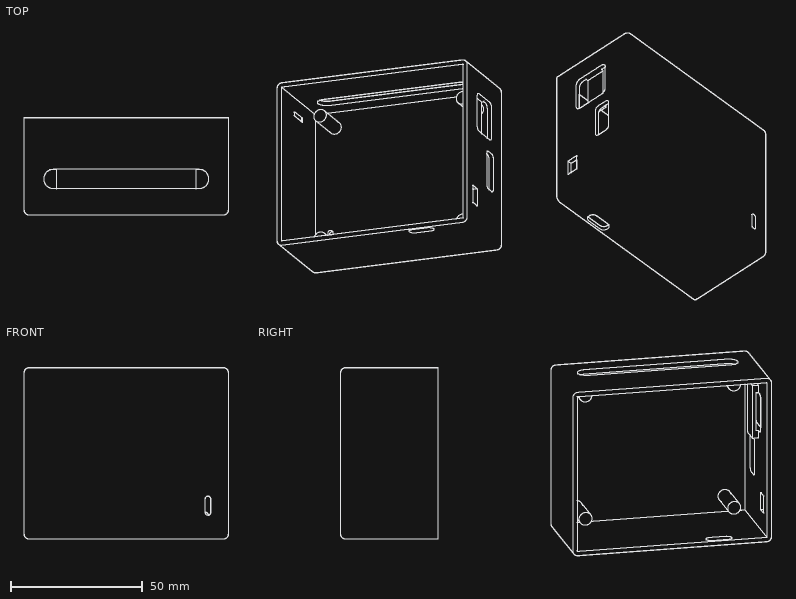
import cadquery as cq

length = 77.5
depth = 37.0
height = 65.0
wall = 1.8
edge_radius = 2.0

left = -length / 2
front = -depth / 2
back = depth / 2
top = height / 2
inner_front = front + wall
cut_depth = 2 * wall

post_diameter = 5.0
post_x = 29.0
post_z = 24.5
post_end = front + 17.2

window_size = 15.0
window_radius = 2.0
window_y = front + 19.3
window_z = 15.0
window_depth = 2.7

bar_width = 8.0
bar_height = 20.9
bar_thickness = 2.3

groove_radius = 1.0
groove_depth = 0.5
groove_z = 24.3
groove_length = bar_width

tall_window_width = 6.75
tall_window_height = 15.0
tall_window_radius = 1.5
tall_window_y = front + 13.4
tall_window_z = -4.95
small_window_width = 4.5
small_window_height = 6.8
small_window_y = front + 28.8
small_window_z = -19.45

top_slot_length = 62.5
top_slot_width = 7.4
top_slot_y = front + 13.7
front_slot_length = 7.2
front_slot_width = 2.0
front_slot_x = 30.9
front_slot_z = -19.85
bottom_slot_length = 10.0
bottom_slot_width = 4.0
bottom_slot_right_end = -13.95
bottom_slot_y = back - 3.0


def make_shell():
    block = cq.Workplane("XY").box(length, depth, height)
    block = block.edges("<Y or |Y").fillet(edge_radius)
    cavity = cq.Workplane("XY").box(length - 2 * wall, depth, height - 2 * wall)
    return block.cut(cavity.translate((0, wall, 0)))


def make_posts():
    centers = [(x, z) for x in (-post_x, post_x) for z in (-post_z, post_z)]
    plane = cq.Workplane("XZ", origin=(0, inner_front, 0))
    return plane.pushPoints(centers).circle(post_diameter / 2).extrude(inner_front - post_end)


def make_bar():
    bar = cq.Workplane("XY").box(bar_thickness, bar_width, bar_height)
    return bar.translate((left + wall + bar_thickness / 2, window_y, window_z))


def make_groove():
    """Round cutter along Y that sinks into the inner face of the right wall."""
    center_x = -left - wall + groove_depth - groove_radius
    plane = cq.Workplane("XZ", origin=(center_x, window_y, groove_z))
    return plane.circle(groove_radius).extrude(groove_length / 2, both=True)


def make_window(y, z, width, tall, into_wall):
    """Cutter that enters the left wall from outside."""
    cutter = cq.Workplane("XY").box(2 * into_wall, width, tall)
    return cutter.translate((left, y, z))


body = make_shell()
body = body.union(make_posts())
body = body.union(make_bar())
body = body.cut(make_groove())

large_window = make_window(window_y, window_z, window_size, window_size, window_depth)
body = body.cut(large_window.edges("|X").fillet(window_radius))
tall_window = make_window(tall_window_y, tall_window_z, tall_window_width, tall_window_height, cut_depth)
body = body.cut(tall_window.edges("|X").fillet(tall_window_radius))
body = body.cut(make_window(small_window_y, small_window_z, small_window_width, small_window_height, cut_depth))

top_slot = cq.Workplane("XY", origin=(0, top_slot_y, top)).slot2D(top_slot_length, top_slot_width)
body = body.cut(top_slot.extrude(cut_depth, both=True))

bottom_slot_x = bottom_slot_right_end - bottom_slot_length / 2
bottom_slot = cq.Workplane("XY", origin=(bottom_slot_x, bottom_slot_y, -top))
bottom_slot = bottom_slot.slot2D(bottom_slot_length, bottom_slot_width)
body = body.cut(bottom_slot.extrude(cut_depth, both=True))

front_slot = cq.Workplane("XZ", origin=(front_slot_x, front, front_slot_z))
front_slot = front_slot.slot2D(front_slot_length, front_slot_width, 90)
body = body.cut(front_slot.extrude(wall, both=True))

result = body